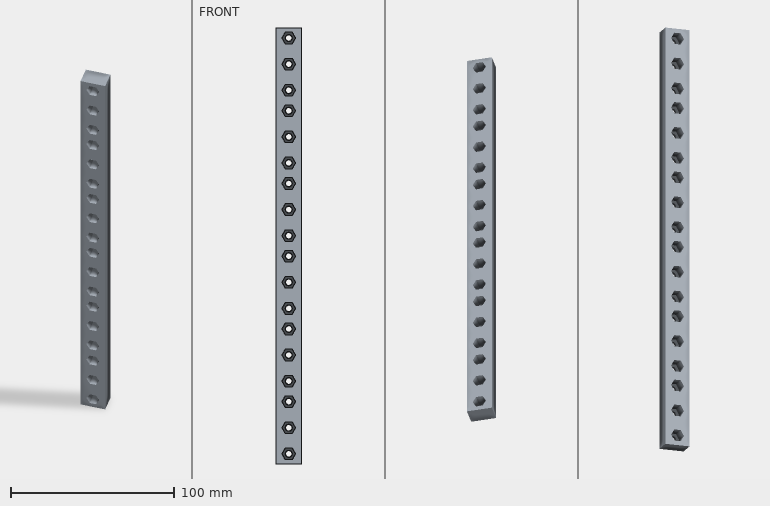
import cadquery as cq

width = 15.8
depth = 11.0
length = 267.0

segment_count = 6
segment_length = length / segment_count
gap_between_groups = 12.5
holes_per_segment = 3
hole_pitch = (segment_length - gap_between_groups) / (holes_per_segment - 1)

hole_diameter = 4.0
nut_across_corners = 8.3
back_wall = 2.5
nut_pocket_depth = depth - back_wall


def centred_steps(count, pitch):
    """Return evenly spaced positions centred on zero."""
    return [(index - (count - 1) / 2) * pitch for index in range(count)]


hole_points = [
    (0, segment_middle + offset)
    for segment_middle in centred_steps(segment_count, segment_length)
    for offset in centred_steps(holes_per_segment, hole_pitch)
]

bar = cq.Workplane("XY").box(width, depth, length)

front_face = cq.Workplane("XZ", origin=(0, -depth / 2, 0)).pushPoints(hole_points)

through_holes = front_face.circle(hole_diameter / 2).extrude(-depth)

nut_pockets = front_face.polygon(6, nut_across_corners).extrude(-nut_pocket_depth)

result = bar.cut(through_holes).cut(nut_pockets)